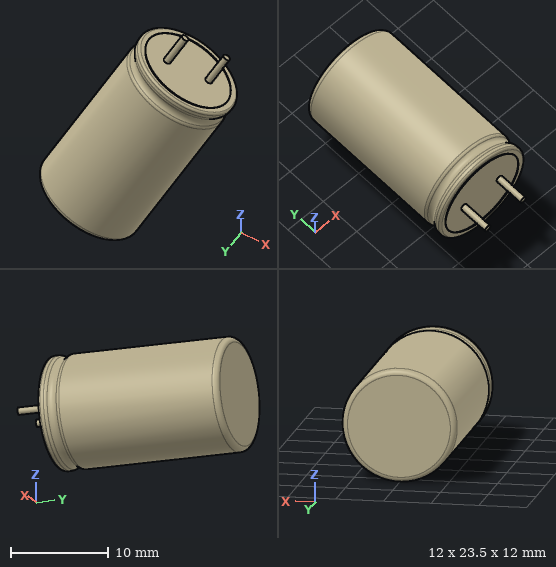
import cadquery as cq

can_diameter = 12.0
overall_length = 23.5
can_length = 20.0
can_radius = can_diameter / 2

crimp_fillet = 0.25
closed_end_fillet = 0.6

valley_start = 0.99
valley_end = 2.0
shoulder_width = 0.35
groove_depth = 0.33

bung_diameter = 10.3
bung_recess = 0.1

lead_diameter = 0.8
lead_pitch = 5.0
lead_length = overall_length - can_length


def make_can():
    """Revolve the can's half profile (radius along X, length along Y)."""
    groove_start = valley_start - shoulder_width
    groove_end = valley_end + shoulder_width
    valley_middle = (valley_start + valley_end) / 2
    valley_half_width = (valley_end - valley_start) / 2
    valley_radius = can_radius - groove_depth
    valley_share = valley_half_width / (valley_half_width + shoulder_width)
    shoulder_radius = valley_radius + groove_depth * valley_share
    profile = (
        cq.Workplane("XY")
        .lineTo(can_radius, 0)
        .lineTo(can_radius, groove_start)
        .tangentArcPoint((shoulder_radius, valley_start), relative=False)
        .threePointArc((valley_radius, valley_middle), (shoulder_radius, valley_end))
        .tangentArcPoint((can_radius, groove_end), relative=False)
        .lineTo(can_radius, can_length)
        .lineTo(0, can_length)
        .close()
    )
    can = profile.revolve(360, (0, 0, 0), (0, 1, 0))
    can = can.faces("<Y").edges().fillet(crimp_fillet)
    return can.faces(">Y").edges().fillet(closed_end_fillet)


def make_bung_recess():
    """Shallow disc that sinks the bung face below the rim."""
    return cq.Workplane("XZ").circle(bung_diameter / 2).extrude(-bung_recess)


def make_leads():
    """Two straight leads running from the bung face toward -Y."""
    return (
        cq.Workplane("XZ", origin=(0, bung_recess, 0))
        .pushPoints([(-lead_pitch / 2, 0), (lead_pitch / 2, 0)])
        .circle(lead_diameter / 2)
        .extrude(lead_length + bung_recess)
    )


result = make_can().cut(make_bung_recess()).union(make_leads())